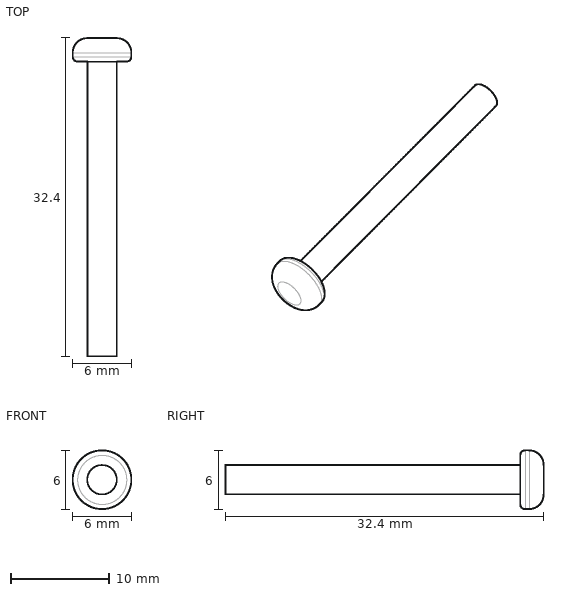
import cadquery as cq

shank_diameter = 3.0
shank_length = 30.0
head_diameter = 6.0
head_height = 2.4
crown_radius = 1.5
underside_radius = 0.5


def make_shank():
    """Plain cylinder from the origin plane toward -Y."""
    return cq.Workplane("XZ").circle(shank_diameter / 2).extrude(shank_length)


def make_head():
    """Disc from the origin plane toward +Y with both rims rounded."""
    head = cq.Workplane("XZ").circle(head_diameter / 2).extrude(-head_height)
    head = head.faces(">Y").edges().fillet(crown_radius)
    return head.faces("<Y").edges().fillet(underside_radius)


result = make_shank().union(make_head())